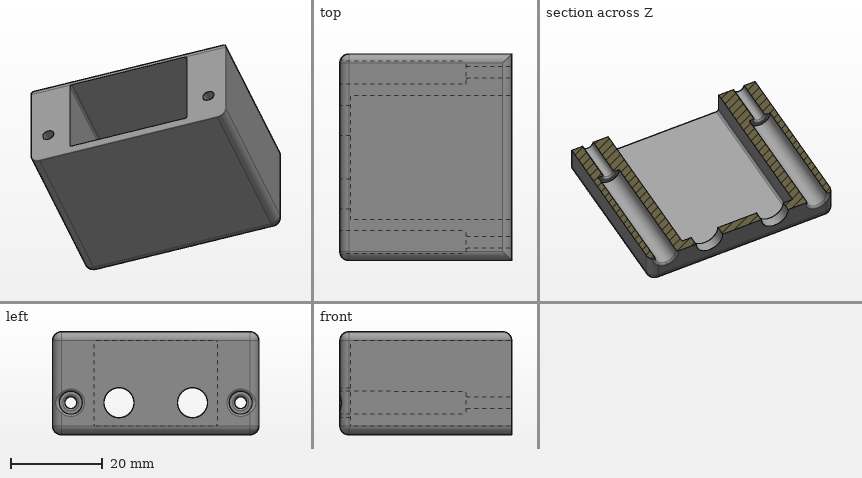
import cadquery as cq

length, width, height = 37.5, 45.0, 22.5
edge_radius = 2.0
rim_radius = 0.1

end_wall = 2.4
floor_wall = 2.0
cavity_width = 27.0
cavity_edge_radius = 0.5

hole_height = 7.0
cable_hole_offset = 8.0
cable_hole_diameter = 6.5

screw_offset = 18.5
head_diameter = 5.0
shank_diameter = 2.5
screw_edge_radius = 0.5
shank_length = 10.0
head_depth = length - shank_length

selection_margin = 0.05


def outer_block():
    block = cq.Workplane("XY").box(length, width, height, centered=(False, True, False))
    block = block.edges("<X or >Z or (|X and <Z)").fillet(edge_radius)
    return block.faces(">X").edges("|Z or <Z").fillet(rim_radius)


def cavity():
    space_height = height - 2 * floor_wall
    space = cq.Workplane("XY", origin=(end_wall, 0, floor_wall)).box(
        length, cavity_width, space_height, centered=(False, True, False)
    )
    return space.edges("|X").fillet(cavity_edge_radius)


def bore(side_offset, diameter, depth):
    start_plane = cq.Plane(origin=(0, side_offset, hole_height), xDir=(0, 0, -1), normal=(1, 0, 0))
    return cq.Workplane(start_plane).circle(diameter / 2).extrude(depth)


def box_around_screw(side_offset, x_start, x_end, diameter):
    half_size = diameter / 2 + selection_margin
    return cq.selectors.BoxSelector(
        (x_start, side_offset - half_size, hole_height - half_size),
        (x_end, side_offset + half_size, hole_height + half_size),
        boundingbox=True,
    )


def with_screw_hole(body, side_offset):
    body = body.cut(bore(side_offset, head_diameter, head_depth))
    body = body.cut(bore(side_offset, shank_diameter, length))
    mouth = box_around_screw(side_offset, -selection_margin, edge_radius, head_diameter)
    body = body.edges(mouth).fillet(screw_edge_radius)
    seat_start = head_depth - selection_margin
    seat_end = head_depth + selection_margin
    seat = box_around_screw(side_offset, seat_start, seat_end, shank_diameter)
    return body.edges(seat).fillet(screw_edge_radius)


result = outer_block()
for side in (-1, 1):
    result = with_screw_hole(result, side * screw_offset)
result = result.cut(cavity())
for side in (-1, 1):
    result = result.cut(bore(side * cable_hole_offset, cable_hole_diameter, end_wall))
result = result.solids()